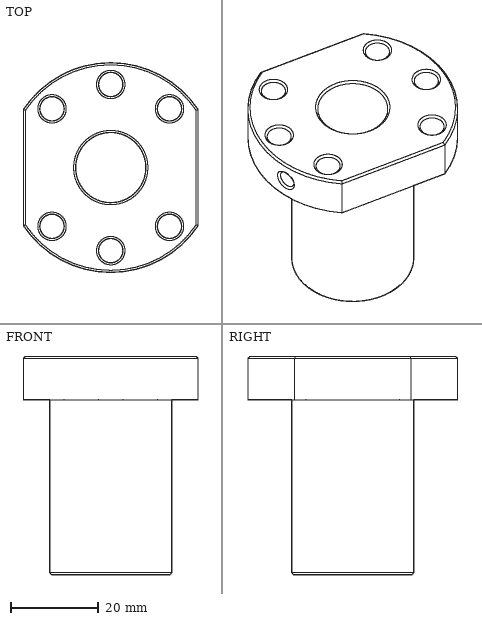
import cadquery as cq
import math

total_length = 50.0
flange_diameter = 48.0
flange_width = 40.0
flange_thickness = 10.0
barrel_diameter = 28.0
bore_diameter = 16.0
edge_chamfer = 0.5

bolt_hole_diameter = 5.5
bolt_circle_diameter = 38.0
bolt_angles = (45, 90, 135, 225, 270, 315)

oil_hole_diameter = 4.0
oil_hole_depth = 10.0
drill_overrun = 1.0
oil_hole_angle = 112.5

flange_bottom = total_length - flange_thickness
flange_middle = total_length - flange_thickness / 2


def make_barrel():
    """Cylindrical nut body with a chamfered lower edge."""
    barrel = cq.Workplane("XY").circle(barrel_diameter / 2).extrude(flange_bottom)
    return barrel.faces("<Z").edges().chamfer(edge_chamfer)


def make_flange():
    """Round flange with two parallel flats and a chamfered top edge."""
    base = cq.Workplane("XY").workplane(offset=flange_bottom)
    disc = base.circle(flange_diameter / 2).extrude(flange_thickness)
    flats = base.rect(flange_width, flange_diameter).extrude(flange_thickness)
    return disc.intersect(flats).faces(">Z").edges().chamfer(edge_chamfer)


def vertical_hole(diameter, x, y, bottom):
    """Cutter for a hole running up from `bottom`, widened by a chamfer at the top face."""
    radius = diameter / 2
    profile = [
        (0, bottom),
        (radius, bottom),
        (radius, total_length - edge_chamfer),
        (radius + edge_chamfer, total_length),
        (0, total_length),
    ]
    cutter = cq.Workplane("XZ").polyline(profile).close().revolve(360, (0, 0), (0, 1))
    return cutter.translate((x, y, 0))


def cut_oil_hole(body):
    """Cut the blind radial hole into the flange rim and chamfer its mouth."""
    rim_radius = flange_diameter / 2
    drill = (
        cq.Workplane("YZ")
        .workplane(offset=rim_radius - oil_hole_depth)
        .center(0, flange_middle)
        .circle(oil_hole_diameter / 2)
        .extrude(oil_hole_depth + drill_overrun)
        .rotate((0, 0, 0), (0, 0, 1), oil_hole_angle)
    )
    angle = math.radians(oil_hole_angle)
    mouth = (rim_radius * math.cos(angle), rim_radius * math.sin(angle), flange_middle)
    return body.cut(drill).edges(cq.NearestToPointSelector(mouth)).chamfer(edge_chamfer)


result = make_barrel().union(make_flange())
result = result.cut(vertical_hole(bore_diameter, 0, 0, 0))
for angle in bolt_angles:
    hole_x = bolt_circle_diameter / 2 * math.cos(math.radians(angle))
    hole_y = bolt_circle_diameter / 2 * math.sin(math.radians(angle))
    result = result.cut(vertical_hole(bolt_hole_diameter, hole_x, hole_y, flange_bottom))
result = cut_oil_hole(result)